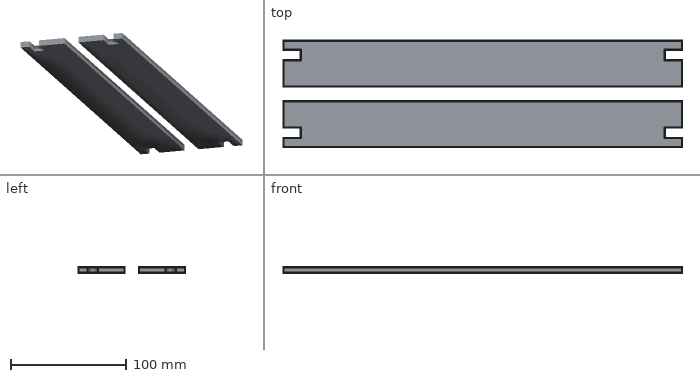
import cadquery as cq

bar_length = 346.0
bar_width = 40.0
bar_thickness = 5.0
overall_width = 92.5

notch_depth = 15.0
notch_width = 9.0
notch_margin = 8.0

bar_offset = (overall_width - bar_width) / 2
notch_offset = overall_width / 2 - notch_margin - notch_width / 2
notch_centre_x = (bar_length - notch_depth) / 2


def notched_bar(side):
    """Flat bar on the +Y (side = 1) or -Y (side = -1) half, notched at both ends near its outer edge."""
    bar = cq.Workplane("XY").center(0, side * bar_offset).rect(bar_length, bar_width).extrude(bar_thickness)
    notches = (
        cq.Workplane("XY")
        .pushPoints([(end * notch_centre_x, side * notch_offset) for end in (-1, 1)])
        .rect(notch_depth, notch_width)
        .extrude(bar_thickness)
    )
    return bar.cut(notches)


bars = [notched_bar(side) for side in (-1, 1)]

result = cq.Compound.makeCompound([bar.val() for bar in bars])